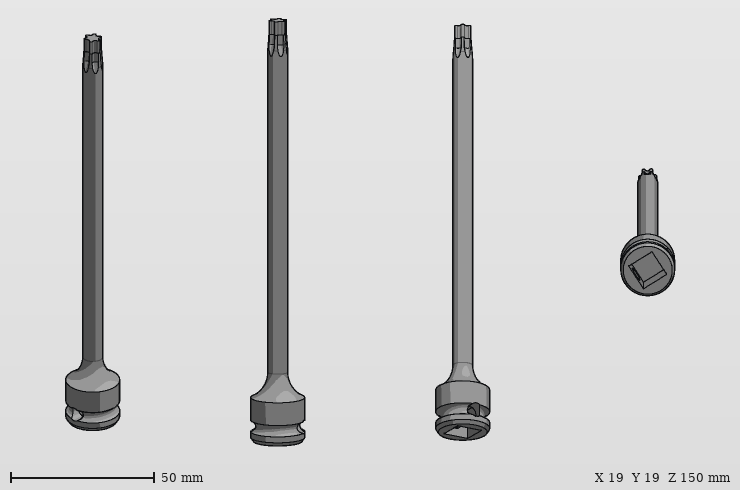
import cadquery as cq
import math

length = 150.0
head_radius = 9.5
shaft_radius = 3.52

chamfer_width = 0.9
chamfer_height = 1.4
groove_bottom = 3.5
groove_top = 7.5
groove_depth = 1.6
shoulder_height = 15.6
neck_top = 24.6

cross_hole_diameter = 5.0
cross_hole_height = (groove_bottom + groove_top) / 2
socket_width = 9.6
socket_depth = 10.5

lobe_count = 6
tip_radius = 3.2
tip_straight_length = 4.8
tip_taper_end = 139.8
tip_straight_start = length - tip_straight_length
lobe_radius = 0.6
lobe_centre_radius = tip_radius - lobe_radius
flute_root_radius = 2.1
lower_flute_radius = 1.2
flute_runout_start = 141.6
flute_runout_end = 137.7

half_pitch = math.pi / lobe_count
root_offset = flute_root_radius - lobe_centre_radius * math.cos(half_pitch)
side_offset = lobe_centre_radius * math.sin(half_pitch)
flute_radius = (root_offset**2 + side_offset**2 - lobe_radius**2) / (2 * (lobe_radius - root_offset))
flute_centre_radius = flute_root_radius + flute_radius


def make_body():
    """Revolve the head, flared neck, shaft and tapered tip in one profile."""
    neck_rise = neck_top - shoulder_height
    neck_run = head_radius - shaft_radius
    neck_arc_radius = (neck_rise**2 + neck_run**2) / (2 * neck_run)
    half_angle = math.asin(neck_rise / neck_arc_radius) / 2
    neck_middle = (
        shaft_radius + neck_arc_radius * (1 - math.cos(half_angle)),
        neck_top - neck_arc_radius * math.sin(half_angle),
    )
    groove_middle = (head_radius - groove_depth, (groove_bottom + groove_top) / 2)
    return (
        cq.Workplane("XZ")
        .moveTo(0, 0)
        .lineTo(head_radius - chamfer_width, 0)
        .lineTo(head_radius, chamfer_height)
        .lineTo(head_radius, groove_bottom)
        .threePointArc(groove_middle, (head_radius, groove_top))
        .lineTo(head_radius, shoulder_height)
        .threePointArc(neck_middle, (shaft_radius, neck_top))
        .lineTo(shaft_radius, tip_taper_end)
        .lineTo(tip_radius, tip_straight_start)
        .lineTo(tip_radius, length)
        .lineTo(0, length)
        .close()
        .revolve(360, (0, 0, 0), (0, 1, 0))
    )


def polar(radius, angle):
    """Point at a radius and an angle in radians."""
    return (radius * math.cos(angle), radius * math.sin(angle))


def make_lobe_trim():
    """Sleeve that leaves the rounded six-lobed section on the straight end of the tip."""
    lobe_share = lobe_radius / (lobe_radius + flute_radius)
    flute_x, flute_y = polar(flute_centre_radius, half_pitch)
    join_x = lobe_centre_radius + (flute_x - lobe_centre_radius) * lobe_share
    join_y = flute_y * lobe_share
    join_radius = math.hypot(join_x, join_y)
    join_angle = math.atan2(join_y, join_x)

    lobes = cq.Workplane("XY", origin=(0, 0, tip_straight_start)).moveTo(*polar(join_radius, -join_angle))
    for index in range(lobe_count):
        lobe_angle = index * 2 * half_pitch
        flute_angle = lobe_angle + half_pitch
        lobes = lobes.threePointArc(polar(tip_radius, lobe_angle), polar(join_radius, lobe_angle + join_angle))
        lobes = lobes.threePointArc(
            polar(flute_root_radius, flute_angle),
            polar(join_radius, flute_angle + half_pitch - join_angle),
        )
    lobes = lobes.close().extrude(tip_straight_length)
    sleeve = (
        cq.Workplane("XY", origin=(0, 0, tip_straight_start))
        .circle(shaft_radius)
        .extrude(tip_straight_length)
    )
    return sleeve.cut(lobes)


def make_lower_flute(angle):
    """Round-bottomed flute, straight at first, then leaning outward until it leaves the shaft."""
    cutter_length = 2 * shaft_radius
    straight_centre = flute_root_radius + cutter_length / 2
    runout_centre = shaft_radius + cutter_length / 2
    straight = (
        cq.Workplane("XY", origin=(straight_centre, 0, flute_runout_start))
        .slot2D(cutter_length, 2 * lower_flute_radius)
        .extrude(tip_straight_start - flute_runout_start)
    )
    runout = (
        cq.Workplane("XY", origin=(straight_centre, 0, flute_runout_start))
        .slot2D(cutter_length, 2 * lower_flute_radius)
        .workplane(offset=flute_runout_end - flute_runout_start)
        .center(runout_centre - straight_centre, 0)
        .slot2D(cutter_length, 2 * lower_flute_radius)
        .loft(ruled=True)
    )
    return straight.union(runout).rotate((0, 0, 0), (0, 0, 1), angle)


def make_cross_hole():
    """Retaining pin hole through the head along Y, in line with the groove."""
    return (
        cq.Workplane("XZ", origin=(0, 0, cross_hole_height))
        .circle(cross_hole_diameter / 2)
        .extrude(head_radius, both=True)
    )


def make_socket():
    """Square drive socket opening at the bottom of the head."""
    return cq.Workplane("XY").rect(socket_width, socket_width).extrude(socket_depth)


result = make_body().cut(make_cross_hole()).cut(make_socket()).cut(make_lobe_trim())
for flute_index in range(lobe_count):
    result = result.cut(make_lower_flute((flute_index + 0.5) * 360 / lobe_count))